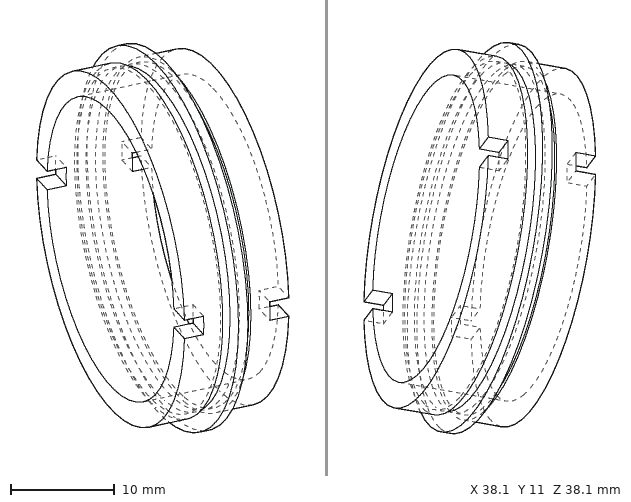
import cadquery as cq

flange_diameter = 38.1
body_diameter = 35.1
groove_diameter = 34.1
bore_diameter = 30.05
ring_length = 11.0
flange_thickness = 1.0
groove_width = 1.0
slot_width = 2.02
slot_depth = 2.02

grooved_length = flange_thickness + 2 * groove_width
land_length = (ring_length - grooved_length) / 2


def disc(diameter, length, center_y=0):
    """Solid cylinder along Y, centred at center_y."""
    start = cq.Workplane("XZ", origin=(0, center_y + length / 2, 0))
    return start.circle(diameter / 2).extrude(length)


ring = disc(groove_diameter, grooved_length).union(disc(flange_diameter, flange_thickness))

for side in (-1, 1):
    land_center = side * (ring_length - land_length) / 2
    ring = ring.union(disc(body_diameter, land_length, land_center))

ring = ring.cut(disc(bore_diameter, ring_length))

for side in (-1, 1):
    slot_center = side * (ring_length - slot_depth) / 2
    slot = cq.Workplane("XY").box(flange_diameter, slot_depth, slot_width)
    ring = ring.cut(slot.translate((0, slot_center, 0)))

result = ring